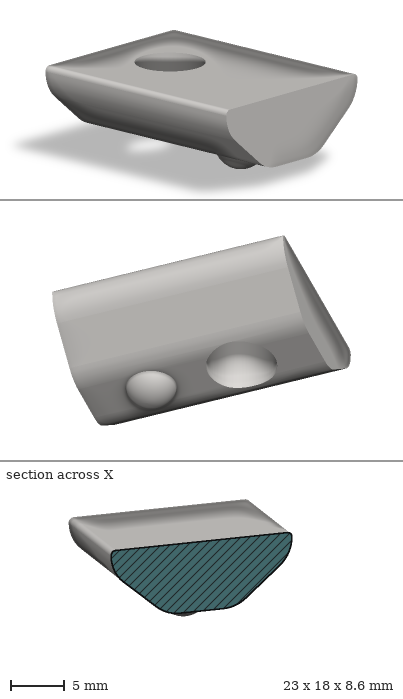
import cadquery as cq
import math


length = 23.0
width = 18.0
height = 6.8
top_edge_radius = 0.5
shoulder_radius = 3.5
bottom_radius = 3.5
flank_angle = math.radians(40.0)

hole_diameter = 6.65
hole_from_end = 7.5

ball_radius = 2.5
ball_from_end = 16.5
ball_protrusion = 1.8


def arc_point(center, radius, angle):
    """Point on a circle in the YZ plane, with the angle measured from +Y."""
    return (
        center[0] + radius * math.cos(angle),
        center[1] + radius * math.sin(angle),
    )


def mirrored(point):
    """The same point on the other side of the centre plane."""
    return (-point[0], point[1])


def make_body():
    """Symmetric trapezoidal bar with rounded corners, extruded along X."""
    half_width = width / 2
    flank_normal = flank_angle - math.pi / 2
    straight_down = -math.pi / 2

    top_center = (half_width - top_edge_radius, -top_edge_radius)
    top_start = arc_point(top_center, top_edge_radius, math.pi / 2)
    top_middle = arc_point(top_center, top_edge_radius, math.pi / 4)
    top_end = arc_point(top_center, top_edge_radius, 0)

    shoulder_center = (half_width - shoulder_radius, -top_edge_radius)
    shoulder_middle = arc_point(shoulder_center, shoulder_radius, flank_normal / 2)
    shoulder_end = arc_point(shoulder_center, shoulder_radius, flank_normal)

    bottom_center_z = bottom_radius - height
    flank_end_z = bottom_center_z + bottom_radius * math.sin(flank_normal)
    flank_run = (shoulder_end[1] - flank_end_z) / math.tan(flank_angle)
    flank_end = (shoulder_end[0] - flank_run, flank_end_z)

    bottom_center_y = flank_end[0] - bottom_radius * math.cos(flank_normal)
    bottom_center = (bottom_center_y, bottom_center_z)
    bottom_middle = arc_point(bottom_center, bottom_radius, (flank_normal + straight_down) / 2)
    bottom_end = arc_point(bottom_center, bottom_radius, straight_down)

    profile = (
        cq.Workplane("YZ", origin=(-hole_from_end, 0, 0))
        .moveTo(*top_start)
        .threePointArc(top_middle, top_end)
        .threePointArc(shoulder_middle, shoulder_end)
        .lineTo(*flank_end)
        .threePointArc(bottom_middle, bottom_end)
        .lineTo(*mirrored(bottom_end))
        .threePointArc(mirrored(bottom_middle), mirrored(flank_end))
        .lineTo(*mirrored(shoulder_end))
        .threePointArc(mirrored(shoulder_middle), mirrored(top_end))
        .threePointArc(mirrored(top_middle), mirrored(top_start))
        .close()
    )
    return profile.extrude(length)


def make_hole():
    """Vertical cylinder through the full body height."""
    return cq.Workplane("XY").circle(hole_diameter / 2).extrude(-height)


def make_ball():
    """Ball that stands out of the underside by its protrusion."""
    center_x = ball_from_end - hole_from_end
    center_z = ball_radius - ball_protrusion - height
    return cq.Workplane("XY", origin=(center_x, 0, center_z)).sphere(ball_radius)


result = make_body().cut(make_hole()).union(make_ball())